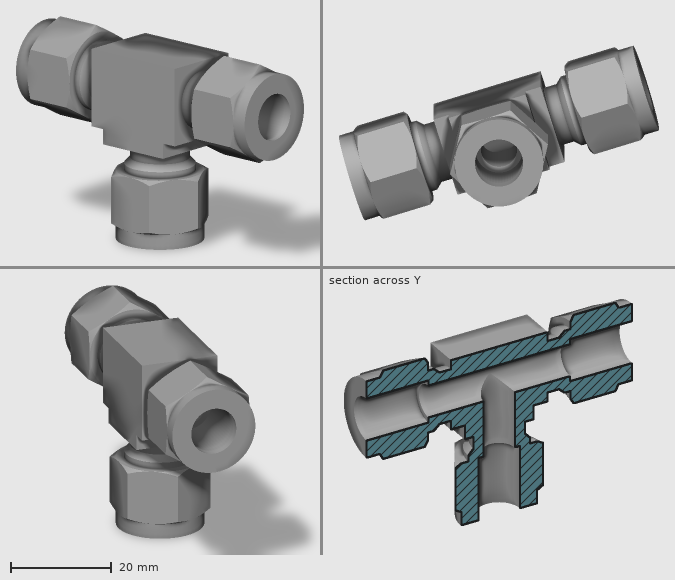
import cadquery as cq
import math


body_length = 22.2
body_width = 15.9
branch_block_length = body_width
branch_block_reach = body_length / 2

arm_reach = 30.5
nut_outer_end = 27.45
nut_inner_end = 16.3
shoulder_cone_length = 1.3
shoulder_land = 1.3
cone_end = nut_inner_end - shoulder_land
cone_start = cone_end - shoulder_cone_length

neck_diameter = 11.9
shoulder_diameter = 14.25
nut_across_flats = 17.55
nut_across_corners = nut_across_flats / math.cos(math.radians(30))
collar_diameter = nut_across_flats
nut_chamfer_angle = 30.0
chamfer_overrun = 0.6

through_bore_diameter = 7.2
tube_socket_diameter = 9.5
tube_socket_depth = arm_reach - nut_inner_end

arm_angles = (0, 90, 180)


def cylinder_along_x(diameter, start, end):
    return cq.Workplane("YZ", origin=(start, 0, 0)).circle(diameter / 2).extrude(end - start)


def make_body():
    """Square bar on the run with a shorter block reaching down to the branch."""
    bar = cq.Workplane("XY").box(body_length, body_width, body_width)
    block = cq.Workplane("XY").box(
        branch_block_length, body_width, branch_block_reach, centered=(True, True, False)
    )
    return bar.union(block.translate((0, 0, -branch_block_reach)))


def make_neck():
    """Neck, widening cone and shoulder, turned about X."""
    neck_radius = neck_diameter / 2
    shoulder_radius = shoulder_diameter / 2
    return (
        cq.Workplane("XY")
        .moveTo(0, 0)
        .lineTo(0, neck_radius)
        .lineTo(cone_start, neck_radius)
        .lineTo(cone_end, shoulder_radius)
        .lineTo(nut_inner_end, shoulder_radius)
        .lineTo(nut_inner_end, 0)
        .close()
        .revolve(360, (0, 0, 0), (1, 0, 0))
    )


def make_nut():
    """Hexagon nut with flats facing +-Y and its corners chamfered at both ends."""
    nut_length = nut_outer_end - nut_inner_end
    hexagon = (
        cq.Workplane("YZ", origin=(nut_inner_end, 0, 0))
        .transformed(rotate=(0, 0, 90))
        .polygon(6, nut_across_corners)
        .extrude(nut_length)
    )
    face_radius = nut_across_flats / 2
    blank_radius = nut_across_corners / 2 + chamfer_overrun
    chamfer_length = (blank_radius - face_radius) * math.tan(math.radians(nut_chamfer_angle))
    chamfer_blank = (
        cq.Workplane("XY")
        .moveTo(nut_inner_end, 0)
        .lineTo(nut_inner_end, face_radius)
        .lineTo(nut_inner_end + chamfer_length, blank_radius)
        .lineTo(nut_outer_end - chamfer_length, blank_radius)
        .lineTo(nut_outer_end, face_radius)
        .lineTo(nut_outer_end, 0)
        .close()
        .revolve(360, (0, 0, 0), (1, 0, 0))
    )
    return hexagon.intersect(chamfer_blank)


def make_arm():
    collar = cylinder_along_x(collar_diameter, nut_outer_end, arm_reach)
    return make_neck().union(make_nut()).union(collar)


def make_arm_bore():
    """Through bore from the crossing outwards, widened to a tube socket at the end."""
    bore = cylinder_along_x(through_bore_diameter, 0, arm_reach)
    socket = cylinder_along_x(tube_socket_diameter, arm_reach - tube_socket_depth, arm_reach)
    return bore.union(socket)


def turn_to_arm(shape, angle):
    return shape.rotate((0, 0, 0), (0, 1, 0), angle)


result = make_body()
for angle in arm_angles:
    result = result.union(turn_to_arm(make_arm(), angle))
for angle in arm_angles:
    result = result.cut(turn_to_arm(make_arm_bore(), angle))